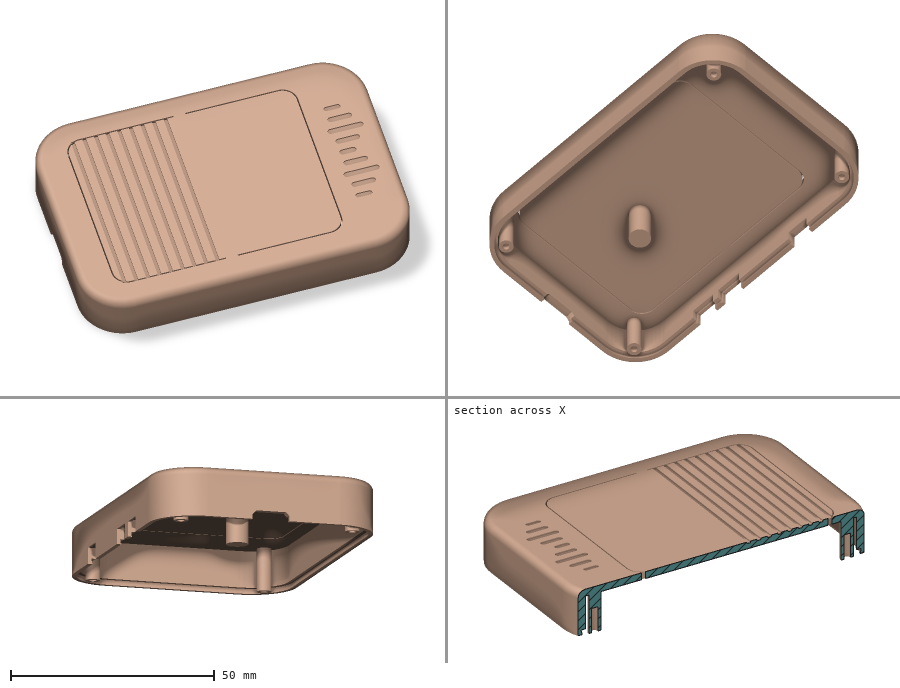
import cadquery as cq
import math

width = 57.2
length = 84.7
height = 12.5
corner_radius = 11.5
top_edge_radius = 1.95
wall = 2.0
top_thickness = 2.0
ceiling = height - top_thickness

recess_height = 1.35
recess_wall_at_rim = 1.2
recess_wall_at_ceiling = 0.85

post_diameter = 3.6
post_hole_diameter = 1.8
post_x = 22.0
post_y = 36.3
post_drop = 0.25
post_hole_depth = 6.8

panel_width = 44.9
panel_back = 25.0
panel_front = -34.05
panel_radius = 4.0
slit_width = 0.3
hinge_y = -4.3
hinge_length = 3.05

plunger_diameter = 5.5
plunger_x = 0.1
plunger_y = -11.9
plunger_gap = 0.25

groove_count = 9
groove_row_span = 23.8
groove_pitch = groove_row_span / (groove_count - 1)
groove_width = 0.9
groove_depth = 0.4
first_groove_y = -8.0

deco_pitch = 3.4
deco_depth = 0.4
deco_sizes = [
    (30.1, 34.3, 1.5),
    (30.1, 36.25, 1.5),
    (29.05, 38.2, 1.5),
    (30.1, 36.25, 1.5),
    (30.1, 34.3, 1.3),
]

side_openings = [
    (13.05, 19.3, 4.1),
    (-11.1, -4.75, 3.8),
    (-19.8, -13.8, 3.8),
]

pocketed_openings = side_openings[1:]
pocket_wall = 0.85
pocket_margin = 0.5

front_opening_left = -5.4
front_opening_right = 4.1
front_opening_height = 2.2
front_opening_chamfer = 0.9


def rounded_block(size_x, size_y, radius, z_bottom, depth, taper=0.0):
    outline = cq.Sketch().rect(size_x, size_y).vertices().fillet(radius)
    return cq.Workplane("XY").workplane(offset=z_bottom).placeSketch(outline).extrude(depth, taper=taper)


def box_between(x, y, z):
    block = cq.Workplane("XY").box(x[1] - x[0], y[1] - y[0], z[1] - z[0], centered=False)
    return block.translate((x[0], y[0], z[0]))


def inset_block(inset, z_bottom, depth, taper=0.0):
    return rounded_block(
        width - 2 * inset, length - 2 * inset, corner_radius - inset, z_bottom, depth, taper
    )


def make_shell():
    body = inset_block(0, 0, height).faces(">Z").edges().fillet(top_edge_radius)
    cavity = inset_block(wall, 0, ceiling)
    flare = math.degrees(math.atan((recess_wall_at_rim - recess_wall_at_ceiling) / recess_height))
    recess = inset_block(recess_wall_at_rim, 0, recess_height, -flare)
    return body.cut(cavity).cut(recess)


def pin(diameter, x, y, z_bottom, z_top):
    return cq.Workplane("XY").circle(diameter / 2).extrude(z_top - z_bottom).translate((x, y, z_bottom))


def panel_slit():
    panel_length = panel_back - panel_front
    outer = rounded_block(panel_width, panel_length, panel_radius, ceiling, top_thickness)
    inner = rounded_block(
        panel_width - 2 * slit_width,
        panel_length - 2 * slit_width,
        panel_radius - slit_width,
        ceiling,
        top_thickness,
    )
    ring = outer.cut(inner).translate((0, (panel_back + panel_front) / 2, 0))
    hinges = box_between(
        (-width / 2, width / 2),
        (hinge_y - hinge_length / 2, hinge_y + hinge_length / 2),
        (0, height),
    )
    return ring.cut(hinges)


def grip_grooves():
    half_width = panel_width / 2 - slit_width
    grooves = cq.Workplane("XY")
    for index in range(groove_count):
        y = first_groove_y - index * groove_pitch
        groove = box_between(
            (-half_width, half_width),
            (y - groove_width / 2, y + groove_width / 2),
            (height - groove_depth, height),
        )
        grooves = grooves.add(groove)
    return grooves.combine()


def deco_slots():
    centers_and_sizes = []
    for index, (front, back, slot_width) in enumerate(deco_sizes):
        x = index * deco_pitch
        for side_x in sorted({-x, x}):
            centers_and_sizes.append((side_x, (front + back) / 2, back - front, slot_width))

    slots = cq.Workplane("XY")
    for x, y, slot_length, slot_width in centers_and_sizes:
        slot = cq.Workplane("XY").slot2D(slot_length, slot_width, 90).extrude(deco_depth)
        slots = slots.add(slot.translate((x, y, height - deco_depth)))
    return slots.combine()


def add_screw_posts(body):
    corners = [(sx * post_x, sy * post_y) for sx in (-1, 1) for sy in (-1, 1)]
    for x, y in corners:
        body = body.union(pin(post_diameter, x, y, -post_drop, ceiling))
    for x, y in corners:
        body = body.cut(pin(post_hole_diameter, x, y, -post_drop, post_hole_depth - post_drop))
    return body


def cut_side_openings(body):
    outside = -width / 2
    inside = outside + wall
    for front, back, top in side_openings:
        body = body.cut(box_between((outside, inside), (front, back), (0, top)))
    for front, back, top in pocketed_openings:
        pocket = box_between(
            (outside + pocket_wall, inside),
            (front - pocket_margin, back + pocket_margin),
            (0, top + pocket_margin),
        )
        body = body.cut(pocket)
    return body


def front_opening():
    opening = box_between(
        (front_opening_left, front_opening_right),
        (-length / 2, -length / 2 + wall),
        (0, front_opening_height),
    )
    return opening.faces(">Z").edges("|Y").chamfer(front_opening_chamfer)


result = add_screw_posts(make_shell())
result = result.union(pin(plunger_diameter, plunger_x, plunger_y, plunger_gap, ceiling))
result = result.cut(panel_slit()).cut(grip_grooves()).cut(deco_slots())
result = cut_side_openings(result)
result = result.cut(front_opening())